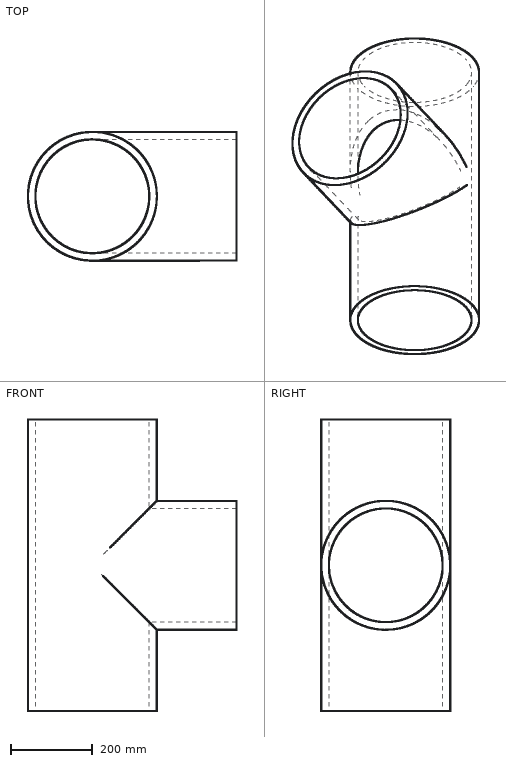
import cadquery as cq

outer_diameter = 315.0
wall_thickness = 18.7
run_length = 712.0
branch_reach = 352.0

bore_diameter = outer_diameter - 2 * wall_thickness


def run_cylinder(diameter):
    """Vertical cylinder over the full run, centred on the origin."""
    return cq.Workplane("XY").circle(diameter / 2).extrude(run_length / 2, both=True)


def branch_cylinder(diameter):
    """Horizontal cylinder from the run axis to the branch end."""
    return cq.Workplane("YZ").circle(diameter / 2).extrude(branch_reach)


def tee_volume(diameter):
    """Run and branch cylinders of one diameter, joined."""
    return run_cylinder(diameter).union(branch_cylinder(diameter))


result = tee_volume(outer_diameter).cut(tee_volume(bore_diameter))